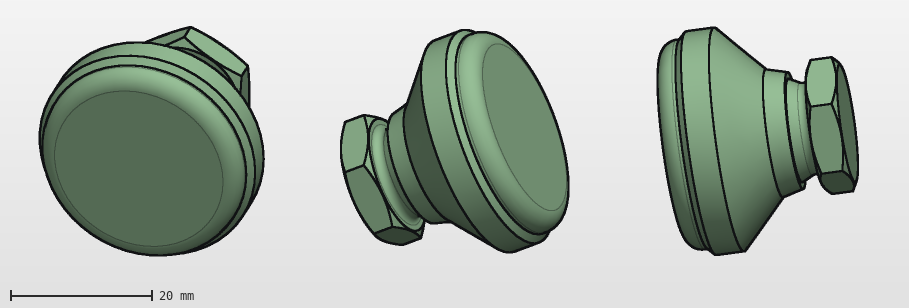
import cadquery as cq
import math


pad_radius = 15.0
pad_edge_fillet = 2.5
pad_end = 3.0

body_radius = 16.0
body_chamfer = body_radius - pad_radius
body_start = pad_end + body_chamfer
body_end = 8.0

collar_start = 14.5
collar_length = 3.0
collar_end = collar_start + collar_length
collar_base_radius = 9.15
collar_taper = math.radians(15)
collar_top_radius = collar_base_radius - collar_length * math.tan(collar_taper)

hex_sides = 6
hex_half_side_angle = 180 / hex_sides
hex_across_flats = 17.0
hex_across_corners = hex_across_flats / math.cos(math.radians(hex_half_side_angle))
hex_corner_radius = hex_across_corners / 2
hex_start = 20.5
hex_end = 25.0
hex_length = hex_end - hex_start
hex_face_radius = 8.4
hex_chamfer_length = 0.75

neck_waist_radius = 6.54
neck_taper = math.radians(27)
groove_radius = 1.0
groove_center_radius = neck_waist_radius + groove_radius
groove_center_y = hex_start - groove_radius
neck_cone_top_radius = groove_center_radius - groove_radius * math.cos(neck_taper)
neck_cone_end = groove_center_y - groove_radius * math.sin(neck_taper)
neck_cone_length = neck_cone_end - collar_end
neck_cone_base_radius = neck_cone_top_radius + neck_cone_length * math.tan(neck_taper)


def make_foot():
    """Pad, base body, shoulder, collar and neck as one revolved profile (radius, Y)."""
    pad_arc_offset = pad_edge_fillet * (1 - math.sqrt(0.5))

    profile = (
        cq.Workplane("XY")
        .moveTo(0, 0)
        .lineTo(pad_radius - pad_edge_fillet, 0)
        .threePointArc(
            (pad_radius - pad_arc_offset, pad_arc_offset),
            (pad_radius, pad_edge_fillet),
        )
        .lineTo(pad_radius, pad_end)
        .lineTo(body_radius, body_start)
        .lineTo(body_radius, body_end)
        .lineTo(collar_base_radius, collar_start)
        .lineTo(collar_top_radius, collar_end)
        .lineTo(neck_cone_base_radius, collar_end)
        .lineTo(neck_cone_top_radius, neck_cone_end)
        .threePointArc(
            (neck_waist_radius, groove_center_y),
            (groove_center_radius, hex_start),
        )
        .lineTo(0, hex_start)
        .close()
    )
    return profile.revolve(360, (0, 0, 0), (0, 1, 0))


def make_hex_head():
    """Hexagonal prism with its corners chamfered conically at both ends."""
    prism = (
        cq.Workplane("XZ", origin=(0, hex_start, 0))
        .transformed(rotate=(0, 0, hex_half_side_angle))
        .polygon(hex_sides, hex_across_corners)
        .extrude(-hex_length)
    )
    chamfer_envelope = (
        cq.Workplane("XY")
        .moveTo(0, hex_start)
        .lineTo(hex_face_radius, hex_start)
        .lineTo(hex_corner_radius, hex_start + hex_chamfer_length)
        .lineTo(hex_corner_radius, hex_end - hex_chamfer_length)
        .lineTo(hex_face_radius, hex_end)
        .lineTo(0, hex_end)
        .close()
        .revolve(360, (0, 0, 0), (0, 1, 0))
    )
    return prism.intersect(chamfer_envelope)


result = make_foot().union(make_hex_head())